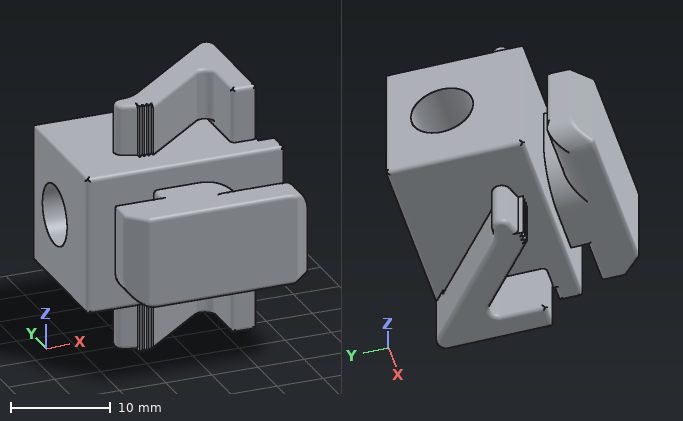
import cadquery as cq
import math


edge_round = 0.49
bore_y = 8.5
half_turn = 180

housing_length = 21.46
housing_depth = 14.5
housing_height = 15.0
bore_diameter = 6.5

clip_height = 27.0
arm_clearance = 0.49
clip_arc_radius = 1.0
post_left = 16.75
post_right = 19.5
post_front = 2.55
arm_angle = math.radians(40)
arm_thickness = 3.1
tail_x = 5.5
tail_y = 3.9
tail_slope = math.radians(20)
tooth_count = 3
tooth_pitch = 0.49
tooth_height = 0.49
tooth_tip_y = 1.92
screw_hole_diameter = 5.0
countersink_width = 0.49
countersink_depth = 0.3

nut_x = 12.23
nut_height = 10.02
head_length = 20.0
head_depth = 4.5
head_chamfer = 2.02
head_corner_radius = 3.0
head_back_radius = 2.0
stem_length = 1.7

arm_cos = math.cos(arm_angle)
arm_sin = math.sin(arm_angle)
arm_normal = arm_angle + math.pi / 2
tip_x = post_right - clip_arc_radius
tip_y = housing_depth - clip_arc_radius
inner_x = post_left - clip_arc_radius
inner_y = tip_y - (arm_thickness + (tip_x - inner_x) * arm_sin) / arm_cos



def on_circle(x, y, radius, angle):
    return (x + radius * math.cos(angle), y + radius * math.sin(angle))


def arm_back_y(x):
    """Y of the arm's straight back flank at a given X."""
    return tip_y + (clip_arc_radius + (x - tip_x) * arm_sin) / arm_cos


inner_end = on_circle(inner_x, inner_y, clip_arc_radius, arm_normal)
last_tip_x = inner_end[0] - (inner_end[1] - tooth_tip_y) * arm_cos / arm_sin
first_tip_x = last_tip_x - tooth_count * tooth_pitch


def screw_cylinder(diameter, start, end):
    """Cylinder on the screw axis between two X positions."""
    return (
        cq.Workplane("YZ", origin=(start, bore_y, 0))
        .circle(diameter / 2)
        .extrude(end - start)
    )



def mitred_block(depth):
    """Block of the housing's length and height whose rounded edges meet in mitres."""
    block = cq.Workplane("XY").box(
        housing_length, depth, housing_height, centered=(False, False, True)
    )
    rounded = block
    for direction in ("|X", "|Y", "|Z"):
        rounded = rounded.intersect(block.edges(direction).fillet(edge_round))
    return rounded


def post_pocket():
    """Slot through the housing that holds the clip's post."""
    corners = [
        (post_left, post_front),
        (post_right, post_front),
        (post_right, arm_back_y(post_right)),
        (post_left, arm_back_y(post_left)),
    ]
    pocket = cq.Workplane("XY").polyline(corners).close().extrude(clip_height / 2, both=True)
    return pocket.edges("|Z and <Y").fillet(edge_round)


def make_housing():
    beyond_post = cq.Workplane("XY", origin=(post_right, 0, 0)).box(
        housing_length, housing_depth, housing_height, centered=(False, False, True)
    )
    body = mitred_block(housing_depth).cut(beyond_post)
    body = body.union(mitred_block(post_front))
    body = body.cut(post_pocket())
    return body.cut(screw_cylinder(bore_diameter, 0, post_left))



def clip_outline():
    tail_top = tail_y + clip_arc_radius
    neck_radius = (tail_top - arm_back_y(tail_x)) * arm_cos / (1 - arm_cos)
    neck_y = tail_top + neck_radius
    neck_end = arm_angle - math.pi / 2
    neck_middle = (arm_angle - math.pi) / 2
    under_tail = on_circle(tail_x, tail_y, clip_arc_radius, -math.pi / 2 - tail_slope)
    tail_middle = on_circle(tail_x, tail_y, clip_arc_radius, math.pi - tail_slope / 2)
    teeth_start_y = under_tail[1] - (first_tip_x - under_tail[0]) * math.tan(tail_slope)

    outline = (
        cq.Workplane("XY")
        .moveTo(post_left, post_front)
        .lineTo(post_right, post_front)
        .lineTo(post_right, tip_y)
        .threePointArc(
            on_circle(tip_x, tip_y, clip_arc_radius, arm_normal / 2),
            on_circle(tip_x, tip_y, clip_arc_radius, arm_normal),
        )
        .lineTo(*on_circle(tail_x, neck_y, neck_radius, neck_end))
        .threePointArc(
            on_circle(tail_x, neck_y, neck_radius, neck_middle),
            (tail_x, tail_top),
        )
        .threePointArc(tail_middle, under_tail)
        .lineTo(first_tip_x, teeth_start_y)
        .lineTo(first_tip_x, tooth_tip_y)
    )
    for tooth in range(1, tooth_count + 1):
        tooth_x = first_tip_x + tooth * tooth_pitch
        outline = outline.lineTo(tooth_x, tooth_tip_y + tooth_height)
        outline = outline.lineTo(tooth_x, tooth_tip_y)
    return (
        outline.lineTo(*inner_end)
        .threePointArc(
            on_circle(inner_x, inner_y, clip_arc_radius, arm_normal / 2),
            (post_left, inner_y),
        )
        .close()
    )


def rounded_clip_blank():
    """Full-height clip profile with rounded rims; the teeth stay sharp."""
    blank = clip_outline().extrude(clip_height / 2, both=True)
    margin = tooth_pitch / 10
    teeth = cq.selectors.BoxSelector(
        (first_tip_x - margin, tooth_tip_y - margin, -clip_height),
        (last_tip_x + margin, tooth_tip_y + 2 * tooth_height, clip_height),
    )
    post_corners = cq.selectors.BoxSelector(
        (post_left - margin, post_front - margin, -margin),
        (post_right + margin, post_front + margin, margin),
    )
    rims = cq.selectors.SubtractSelector(cq.selectors.StringSyntaxSelector("#Z"), teeth)
    rounded_rims = blank.faces("<Z or >Z").edges(rims).fillet(edge_round)
    rounded_post = blank.edges(post_corners).fillet(edge_round)
    return rounded_rims.intersect(rounded_post)


def make_clip():
    between_arms = cq.Workplane("XY").box(
        post_left,
        housing_depth,
        housing_height + 2 * arm_clearance,
        centered=(False, False, True),
    )
    hole_radius = screw_hole_diameter / 2
    countersink = cq.Solid.makeCone(
        hole_radius + countersink_width,
        hole_radius,
        countersink_depth,
        cq.Vector(post_left, bore_y, 0),
        cq.Vector(1, 0, 0),
    )
    body = rounded_clip_blank().cut(between_arms)
    body = body.cut(screw_cylinder(screw_hole_diameter, post_left, post_right))
    return body.cut(cq.Workplane(countersink))



def with_half_turn(body):
    """The body joined with its copy turned half a turn about the nut's axis."""
    return body.union(body.rotate((nut_x, 0, 0), (nut_x, 1, 0), half_turn))


def head_block():
    return cq.Workplane("XY", origin=(nut_x, -stem_length - head_depth / 2, 0)).box(
        head_length, head_depth, nut_height
    )


def head_side():
    """Half-length block with the head's back edges: one widely rounded, one slightly."""
    side = cq.Workplane("XY", origin=(nut_x, -stem_length - head_depth, 0)).box(
        head_length / 2, head_depth, nut_height, centered=(False, False, True)
    )
    side = side.edges("|X and >Y").edges(">Z").fillet(head_back_radius)
    return side.edges("|X and >Y").edges("<Z").fillet(edge_round)


def make_head():
    chamfered = head_block().edges("|Z and <Y").chamfer(head_chamfer)
    face = head_block().edges("|Y and >X").edges(">Z").fillet(head_corner_radius)
    face = face.edges("|Y and <X").edges("<Z").fillet(head_corner_radius)
    head = chamfered.intersect(face).edges("not >Y").fillet(edge_round)
    head = head.intersect(head_block().edges("|Z and >Y").fillet(edge_round))
    return head.intersect(with_half_turn(head_side()))


def make_stem():
    """Round stem with two opposite square quarters, rooted in the head's rounded back."""
    radius = nut_height / 2
    root_y = -stem_length - head_back_radius
    core = cq.Workplane("XZ", origin=(nut_x, 0, 0)).circle(radius).extrude(-root_y)
    quarter = cq.Workplane("XY", origin=(nut_x - radius, root_y, 0)).box(
        radius, -root_y, radius, centered=False
    )
    quarter = quarter.edges("|Y and <X").edges(">Z").fillet(edge_round)
    return core.union(with_half_turn(quarter))


def make_nut():
    return make_head().union(make_stem())


housing = make_housing()
clip = make_clip()
nut = make_nut()
result = cq.Compound.makeCompound([body.solids().val() for body in (housing, clip, nut)])